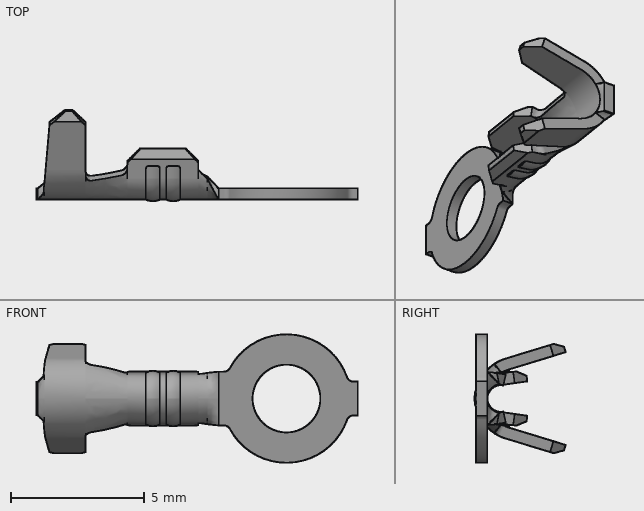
import cadquery as cq
import math

SHEET = 0.43
REACH = 7.24

TONGUE_FLAT_END = 0.06
GRIP_START = 0.25
TONGUE_BLEND_END = 0.31
GRIP_END = 1.86
BARREL_START = 3.43
BARREL_END = 6.08
NECK_START = 6.84
LENGTH = 12.06

GRIP_RADIUS = 1.57
GRIP_SPLAY = 17.0
GRIP_WING = 2.23
GRIP_COIN_LENGTH = 0.34
GRIP_TIP_TRIM = 0.48
GRIP_TIP_START = 1.09
GRIP_TIP_END = 1.36
GRIP_SHOULDER = 0.5

BARREL_RADIUS = 0.93
BARREL_SPLAY = 8.0
BARREL_WING = 1.09
BARREL_COIN_LENGTH = 0.36
BARREL_TRIM = 0.48
COIN_DEPTH = 0.22

BEAD_CENTRES = (4.38, 5.14)
BEAD_WIDTH = 0.52
BEAD_HEIGHT = 0.06
BEAD_WING = 0.47
BEAD_CORNER = 0.1

WEB_TILT = 25.0
WEB_EDGE_AT_GRIP = 1.18
WEB_EDGE_AT_BARREL = 1.25
WEB_GRIP_FILLET = 0.22
WEB_BARREL_FILLET = 0.24

TONGUE_HALF = 0.63
TONGUE_SWEEP = 34.0
NECK_SWEEP = 102.0
NECK_MID_X = 6.42
NECK_MID_RADIUS = 0.99
NECK_MID_SWEEP = 78.0
NECK_HALF = 1.01
RING_X = 9.38
RING_RADIUS = 2.41
HOLE_RADIUS = 1.27
TAB_HALF = 0.64
CORNER_FILLET = 0.24


def arc_point(bend_radius, radius, sweep):
    """(y, z) on an arc around the bend axis, swept from the bottom of the bend."""
    angle = math.radians(sweep)
    return bend_radius - radius * math.cos(angle), radius * math.sin(angle)


def wing_point(bend_radius, splay, along, depth):
    """(y, z) on a straight wing: distance past the bend, depth below the outer face."""
    y, z = arc_point(bend_radius, bend_radius - depth, 90 - splay)
    angle = math.radians(splay)
    return y + along * math.cos(angle), z + along * math.sin(angle)


def winged_section(x, bend_radius, splay, wing, coin_length=0.0):
    """Half U-section with a straight wing, its outer tip thinned when coined."""
    inner = bend_radius - SHEET
    bend = 90 - splay
    section = (
        cq.Workplane("YZ", origin=(x, 0, 0))
        .moveTo(0, 0)
        .threePointArc(arc_point(bend_radius, bend_radius, bend / 2),
                       arc_point(bend_radius, bend_radius, bend))
    )
    tip_depth = 0.0
    if coin_length:
        section = section.lineTo(*wing_point(bend_radius, splay, wing - coin_length, 0))
        tip_depth = COIN_DEPTH
    return (
        section.lineTo(*wing_point(bend_radius, splay, wing, tip_depth))
        .lineTo(*wing_point(bend_radius, splay, wing, SHEET))
        .lineTo(*arc_point(bend_radius, inner, bend))
        .threePointArc(arc_point(bend_radius, inner, bend / 2), (SHEET, 0))
        .close()
    )


def arc_section(x, bend_radius, sweep):
    """Half section of a plain bend with a radial end."""
    inner = bend_radius - SHEET
    return (
        cq.Workplane("YZ", origin=(x, 0, 0))
        .moveTo(0, 0)
        .threePointArc(arc_point(bend_radius, bend_radius, sweep / 2),
                       arc_point(bend_radius, bend_radius, sweep))
        .lineTo(*arc_point(bend_radius, inner, sweep))
        .threePointArc(arc_point(bend_radius, inner, sweep / 2), (SHEET, 0))
        .close()
    )


def flat_section(x, half_width):
    """Half section of the sheet where it is flat."""
    return (
        cq.Workplane("YZ", origin=(x, 0, 0))
        .polyline([(0, 0), (0, half_width), (SHEET, half_width), (SHEET, 0)])
        .close()
    )


def loft(*sections):
    """Straight-sided loft through the sections."""
    wires = [section.wire().val() for section in sections]
    return cq.Workplane(cq.Solid.makeLoft(wires, True))


def wing_plane(splay, y=0.0, z=0.0):
    """Plane parallel to a wing: local x is X, local y runs up the wing."""
    angle = math.radians(splay)
    return cq.Workplane(cq.Plane(origin=(0, y, z), xDir=(1, 0, 0),
                                 normal=(0, -math.sin(angle), math.cos(angle))))


def grip_half():
    blank = winged_section(GRIP_START, GRIP_RADIUS, GRIP_SPLAY, GRIP_WING, GRIP_COIN_LENGTH)
    blank = blank.extrude(GRIP_END - GRIP_START)
    bend_end = arc_point(GRIP_RADIUS, GRIP_RADIUS, 90 - GRIP_SPLAY)
    trim_start = GRIP_WING - GRIP_TIP_TRIM
    shoulder_y = wing_point(GRIP_RADIUS, GRIP_SPLAY, trim_start, 0)[0]
    lean = (
        cq.Workplane("XY")
        .polyline([(GRIP_START, 0), (GRIP_SHOULDER, shoulder_y),
                   (GRIP_SHOULDER, REACH), (GRIP_END, REACH), (GRIP_END, 0)])
        .close()
        .extrude(REACH)
    )
    tip = (
        wing_plane(GRIP_SPLAY, *bend_end)
        .polyline([(GRIP_START, -REACH), (GRIP_START, trim_start), (GRIP_SHOULDER, trim_start),
                   (GRIP_TIP_START, GRIP_WING), (GRIP_TIP_END, GRIP_WING),
                   (GRIP_END, trim_start), (GRIP_END, -REACH)])
        .close()
        .extrude(REACH, both=True)
    )
    return blank.intersect(lean).intersect(tip)


def barrel_half():
    blank = winged_section(BARREL_START, BARREL_RADIUS, BARREL_SPLAY, BARREL_WING,
                           BARREL_COIN_LENGTH)
    blank = blank.extrude(BARREL_END - BARREL_START)
    bend_end = arc_point(BARREL_RADIUS, BARREL_RADIUS, 90 - BARREL_SPLAY)
    trim_start = BARREL_WING - BARREL_TRIM
    outline = (
        wing_plane(BARREL_SPLAY, *bend_end)
        .polyline([(BARREL_START, -REACH), (BARREL_START, trim_start),
                   (BARREL_START + BARREL_TRIM, BARREL_WING),
                   (BARREL_END - BARREL_TRIM, BARREL_WING),
                   (BARREL_END, trim_start), (BARREL_END, -REACH)])
        .close()
        .extrude(REACH, both=True)
    )
    return blank.intersect(outline)


def bead_half(x):
    """Rounded rib following the outside of the bend and part of the wing."""
    root = SHEET / 2
    half = BEAD_WIDTH / 2

    def profile(plane):
        return (
            plane.moveTo(-half, root)
            .lineTo(-half, 0)
            .threePointArc((0, -BEAD_HEIGHT), (half, 0))
            .lineTo(half, root)
            .close()
        )

    bend = 90 - BARREL_SPLAY
    around = profile(cq.Workplane("XY", origin=(x, 0, 0)))
    around = around.revolve(bend, (0, BARREL_RADIUS, 0), (-1, BARREL_RADIUS, 0))
    angle = math.radians(BARREL_SPLAY)
    y, z = arc_point(BARREL_RADIUS, BARREL_RADIUS, bend)
    wing_base = cq.Plane(origin=(x, y, z), xDir=(1, 0, 0),
                         normal=(0, math.cos(angle), math.sin(angle)))
    straight = profile(cq.Workplane(wing_base)).extrude(BEAD_WING)
    rounded_end = (
        wing_plane(BARREL_SPLAY, y, z)
        .center(x, 0)
        .moveTo(-half, 0)
        .lineTo(-half, BEAD_WING - BEAD_CORNER)
        .radiusArc((-half + BEAD_CORNER, BEAD_WING), BEAD_CORNER)
        .lineTo(half - BEAD_CORNER, BEAD_WING)
        .radiusArc((half, BEAD_WING - BEAD_CORNER), BEAD_CORNER)
        .lineTo(half, 0)
        .close()
        .extrude(REACH, both=True)
    )
    return around.union(straight.intersect(rounded_end))


def web_half():
    """Tapering trough between grip and barrel, filleted up into both wings."""
    trough = loft(winged_section(GRIP_END, GRIP_RADIUS, GRIP_SPLAY, BARREL_WING),
                  winged_section(BARREL_START, BARREL_RADIUS, BARREL_SPLAY, BARREL_WING))
    outline = (
        wing_plane(WEB_TILT)
        .moveTo(GRIP_END, -REACH)
        .lineTo(GRIP_END, WEB_EDGE_AT_GRIP + WEB_GRIP_FILLET)
        .radiusArc((GRIP_END + WEB_GRIP_FILLET, WEB_EDGE_AT_GRIP), -WEB_GRIP_FILLET)
        .lineTo(BARREL_START - WEB_BARREL_FILLET, WEB_EDGE_AT_BARREL)
        .radiusArc((BARREL_START, WEB_EDGE_AT_BARREL + WEB_BARREL_FILLET), -WEB_BARREL_FILLET)
        .lineTo(BARREL_START, -REACH)
        .close()
        .extrude(REACH, both=True)
    )
    return trough.intersect(outline)


def tongue_half():
    flat = flat_section(0, TONGUE_HALF).extrude(TONGUE_FLAT_END)
    blend = loft(flat_section(TONGUE_FLAT_END, TONGUE_HALF),
                 arc_section(TONGUE_BLEND_END, GRIP_RADIUS, TONGUE_SWEEP))
    return flat.union(blend)


def neck_half():
    """Barrel section flattening out into the ring plate."""
    return loft(arc_section(BARREL_END, BARREL_RADIUS, NECK_SWEEP),
                arc_section(NECK_MID_X, NECK_MID_RADIUS, NECK_MID_SWEEP),
                flat_section(NECK_START, NECK_HALF))


def strip(x_start, x_end, half_width):
    corner = cq.Workplane("XY", origin=(x_start, 0, 0))
    return corner.box(x_end - x_start, SHEET, 2 * half_width, centered=(False, False, True))


def ring_plate():
    disc = cq.Workplane("XZ").center(RING_X, 0).circle(RING_RADIUS).extrude(-SHEET)
    plate = disc.union(strip(NECK_START, RING_X, NECK_HALF)).union(strip(RING_X, LENGTH, TAB_HALF))
    neck_corner = RING_X - math.sqrt(RING_RADIUS**2 - NECK_HALF**2)
    tab_corner = RING_X + math.sqrt(RING_RADIUS**2 - TAB_HALF**2)
    margin = SHEET / 2
    corners = cq.selectors.BoxSelector((neck_corner - margin, 0, -NECK_HALF - margin),
                                       (tab_corner + margin, SHEET, NECK_HALF + margin))
    plate = plate.edges("|Y").edges(corners).fillet(CORNER_FILLET)
    hole = cq.Workplane("XZ").center(RING_X, 0).circle(HOLE_RADIUS).extrude(-SHEET)
    return plate.cut(hole)


bent_halves = [tongue_half(), grip_half(), web_half(), barrel_half(), neck_half()]
bent_halves += [bead_half(bead_x) for bead_x in BEAD_CENTRES]

result = ring_plate()
for half in bent_halves:
    result = result.union(half.union(half.mirror("XY")))